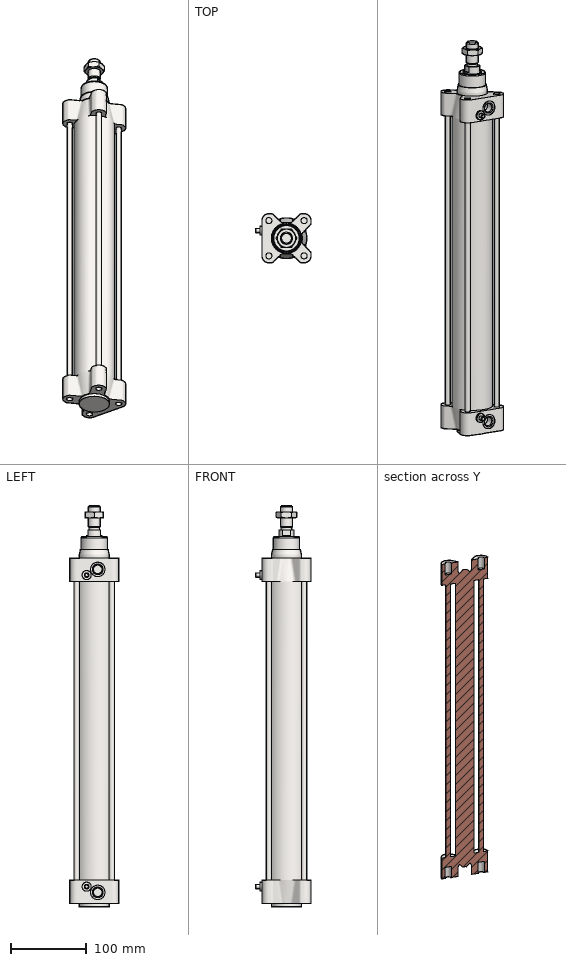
import cadquery as cq
import math


collar_length = 4.0
head_height = 31.0
barrel_and_heads_length = 456.0
neck_height = 28.2
shoulder_height = 37.0
thread_length = 32.0

rear_head_z = collar_length
front_head_top = rear_head_z + barrel_and_heads_length
front_head_z = front_head_top - head_height
barrel_z = rear_head_z + head_height
barrel_length = front_head_z - barrel_z
middle_z = rear_head_z + barrel_and_heads_length / 2
neck_top = front_head_top + neck_height
rod_shoulder = front_head_top + shoulder_height

barrel_diameter = 54.0
tie_rod_diameter = 7.1
tie_rod_offset = 23.25
collar_diameter = 40.0
neck_diameter = 35.0
neck_cone_height = 7.0
neck_cone_top_diameter = 37.0
neck_rim_height = 1.5
neck_rim_width = 0.7
wiper_diameter = 25.0
wiper_depth = 2.0

head_half_width = 32.5
corner_radius = head_half_width - tie_rod_offset
notch_apex = 14.0
flank_blend_radius = 4.5
hub_top_diameter = 42.0
hub_root_radius = 4.0
corner_hole_diameter = 8.0
corner_hole_depth = 16.0

port_y = -4.6
port_height = 16.0
port_spotface_diameter = 19.0
port_spotface_depth = 0.5
port_diameter = 11.4
port_chamfer = 1.3
port_depth = 12.0
screw_y = 10.0
screw_height = 8.5
screw_projection = 8.5
screw_flange_diameter = 12.0
screw_flange_thickness = 2.5
screw_tip_diameter = 6.0
screw_tip_chamfer = 0.8

rod_diameter = 20.0
rod_flat_width = 17.0
rod_flat_length = 7.5
relief_diameter = 14.5
relief_length = 3.0
thread_diameter = 16.0
thread_chamfer = 1.5
nut_width = 24.0
nut_thickness = 8.0
nut_z = 513.0
nut_chamfer_angle = 30.0


def disc(diameter, z, height):
    """Cylinder on the Z axis that starts at height z."""
    return cq.Workplane("XY").workplane(offset=z).circle(diameter / 2).extrude(height)


def turned(profile):
    """Solid of revolution about Z from (radius, z) points."""
    return cq.Workplane("XZ").polyline(profile).close().revolve(360, (0, 0, 0), (0, 1, 0))


def lobed_block():
    """Square block with 45-degree notches in +X, +Y and -Y that leave four lobes."""
    notch_half_width = head_half_width - notch_apex
    block = cq.Workplane("XY").rect(2 * head_half_width, 2 * head_half_width).extrude(head_height)
    for angle in (-90, 0, 90):
        notch = (
            cq.Workplane("XY")
            .polyline([
                (notch_apex, 0),
                (head_half_width, notch_half_width),
                (head_half_width, -notch_half_width),
            ])
            .close()
            .extrude(head_height)
        )
        block = block.cut(notch.rotate((0, 0, 0), (0, 0, 1), angle))

    def distance_from_axis(edge):
        return math.hypot(edge.Center().x, edge.Center().y)

    upright_edges = sorted(block.edges("|Z").vals(), key=distance_from_axis)
    flank_ends = upright_edges[3:9]
    corners = upright_edges[9:]
    solid = block.val().fillet(flank_blend_radius, flank_ends)
    solid = solid.fillet(corner_radius, corners)
    return cq.Workplane(obj=solid)


def side_disc(diameter, y, z, outer_x, length):
    """Cylinder along X that runs from outer_x toward +X."""
    return (
        cq.Workplane("YZ", origin=(outer_x, y, z))
        .circle(diameter / 2)
        .extrude(length)
    )


def cushion_screw():
    """Flanged screw standing out of the -X face of a head."""
    flange_x = -head_half_width - screw_flange_thickness
    tip_x = -head_half_width - screw_projection
    flange = side_disc(screw_flange_diameter, screw_y, screw_height, flange_x, screw_flange_thickness)
    tip = side_disc(screw_tip_diameter, screw_y, screw_height, tip_x, screw_projection)
    tip = tip.faces("<X").edges().chamfer(screw_tip_chamfer)
    return flange.union(tip)


def head():
    """One head with its collar; the barrel side is at Z = 0 and the collar points up."""
    hub = turned([
        (0, 0),
        (barrel_diameter / 2, 0),
        (hub_top_diameter / 2, head_height),
        (0, head_height),
    ])
    body = lobed_block().union(hub)
    body = body.edges("%HYPERBOLA").fillet(hub_root_radius)
    body = body.union(disc(collar_diameter, head_height, collar_length))

    corner_holes = (
        cq.Workplane("XY")
        .workplane(offset=head_height - corner_hole_depth)
        .rect(2 * tie_rod_offset, 2 * tie_rod_offset, forConstruction=True)
        .vertices()
        .circle(corner_hole_diameter / 2)
        .extrude(corner_hole_depth)
    )
    spotface = side_disc(port_spotface_diameter, port_y, port_height, -head_half_width, port_spotface_depth)
    port = side_disc(port_diameter, port_y, port_height, -head_half_width, port_depth)
    mouth_x = -head_half_width + port_spotface_depth
    port_mouth = cq.Solid.makeCone(
        port_diameter / 2 + port_chamfer,
        port_diameter / 2,
        port_chamfer,
        pnt=cq.Vector(mouth_x, port_y, port_height),
        dir=cq.Vector(1, 0, 0),
    )
    body = body.cut(corner_holes).cut(spotface).cut(port).cut(port_mouth)
    return body.union(cushion_screw())


def neck():
    """Stepped rod guide on the front collar, with a narrow chamfered rim."""
    cone_z = front_head_top + collar_length
    cone_top = cone_z + neck_cone_height
    neck_radius = neck_diameter / 2
    return turned([
        (0, cone_z),
        (collar_diameter / 2, cone_z),
        (neck_cone_top_diameter / 2, cone_top),
        (neck_radius, cone_top),
        (neck_radius, neck_top - neck_rim_height),
        (neck_radius - neck_rim_width, neck_top),
        (0, neck_top),
    ])


def cylinder_body():
    """Both heads, barrel, tie rods and neck, bored to take the piston rod."""
    front = head().translate((0, 0, front_head_z))
    rear = front.mirror("XY", (0, 0, middle_z))
    barrel = disc(barrel_diameter, barrel_z, barrel_length)
    tie_rods = (
        cq.Workplane("XY")
        .workplane(offset=barrel_z)
        .rect(2 * tie_rod_offset, 2 * tie_rod_offset, forConstruction=True)
        .vertices()
        .circle(tie_rod_diameter / 2)
        .extrude(barrel_length)
    )
    body = barrel.union(tie_rods).union(front).union(rear).union(neck())
    rod_bore = disc(rod_diameter, front_head_z, neck_top - front_head_z)
    wiper_recess = disc(wiper_diameter, neck_top - wiper_depth, wiper_depth)
    return body.cut(rod_bore).cut(wiper_recess)


def piston_rod():
    """Rod with two wrench flats, a thread relief and a plain cylinder for its thread."""
    rod = disc(rod_diameter, front_head_z, rod_shoulder - front_head_z)
    flat_z = rod_shoulder - rod_flat_length
    flats = (
        cq.Workplane("XY")
        .workplane(offset=flat_z)
        .rect(rod_diameter, rod_diameter)
        .rect(rod_diameter, rod_flat_width)
        .extrude(rod_flat_length)
    )
    relief = disc(relief_diameter, rod_shoulder, relief_length)
    thread = disc(thread_diameter, rod_shoulder + relief_length, thread_length - relief_length)
    thread = thread.faces("<Z or >Z").edges().chamfer(thread_chamfer)
    return rod.cut(flats).union(relief).union(thread)


def rod_nut():
    """Hexagon nut with corners on the X axis and both faces chamfered."""
    corner_diameter = nut_width / math.cos(math.pi / 6)
    corner_radius_excess = (corner_diameter - nut_width) / 2
    chamfer_height = corner_radius_excess * math.tan(math.radians(nut_chamfer_angle))
    hexagon = cq.Workplane("XY").workplane(offset=nut_z).polygon(6, corner_diameter).extrude(nut_thickness)
    nut_top = nut_z + nut_thickness
    envelope = turned([
        (0, nut_z),
        (nut_width / 2, nut_z),
        (corner_diameter / 2, nut_z + chamfer_height),
        (corner_diameter / 2, nut_top - chamfer_height),
        (nut_width / 2, nut_top),
        (0, nut_top),
    ])
    return hexagon.intersect(envelope).cut(disc(thread_diameter, nut_z, nut_thickness))


body = cylinder_body()
rod = piston_rod()
nut = rod_nut()

result = cq.Compound.makeCompound([body.val(), rod.val(), nut.val()])